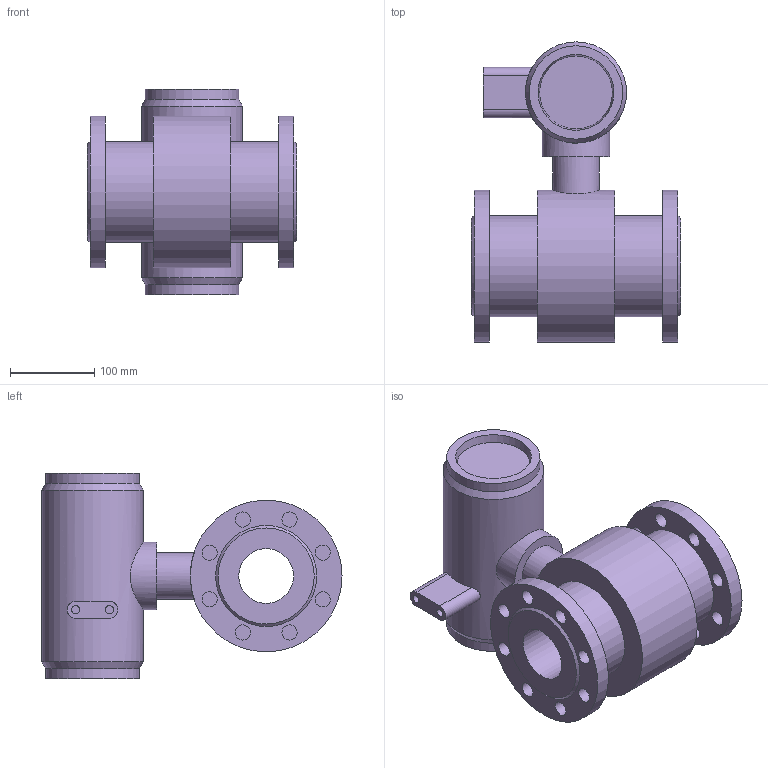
import cadquery as cq

TUBE_LENGTH = 248.0
TUBE_DIAMETER = 120.0
BORE_DIAMETER = 65.0
BODY_DIAMETER = 180.0
BODY_LENGTH = 92.0

FLANGE_DIAMETER = 180.0
FLANGE_THICKNESS = 18.0
FACE_HEIGHT = 3.0
FACE_DIAMETER = 120.0
FACE_TAPER = 45.0
BOLT_CIRCLE_DIAMETER = 145.0
BOLT_HOLE_DIAMETER = 18.0
BOLT_COUNT = 8

HOUSING_Y = 206.0
HOUSING_HEIGHT = 244.0
HOUSING_DIAMETER = 120.0
CAP_DIAMETER = 110.76
CAP_HEIGHT = 12.0
SHOULDER_HEIGHT = 8.0
WINDOW_DIAMETER = 90.0
WINDOW_DEPTH = 10.0
WINDOW_TAPER = 10.0

STEM_DIAMETER = 55.0
COLLAR_DIAMETER = 80.0
COLLAR_FRONT_Y = 130.0

ENTRY_REACH = 110.0
ENTRY_Z = -40.0
ENTRY_WIDTH = 60.0
ENTRY_HEIGHT = 20.0
ENTRY_HOLE_DIAMETER = 10.0
ENTRY_HOLE_SPACING = ENTRY_WIDTH - ENTRY_HEIGHT
ENTRY_HOLE_DEPTH = 20.0


def cylinder_x(diameter, x_start, x_end):
    """Cylinder on the tube axis between two X positions."""
    return cq.Workplane("YZ", origin=(x_start, 0, 0)).circle(diameter / 2).extrude(x_end - x_start)


def cylinder_y(diameter, y_start, y_end):
    """Cylinder on the neck axis between two Y positions."""
    plane = cq.Plane(origin=(0, y_start, 0), xDir=(1, 0, 0), normal=(0, 1, 0))
    return cq.Workplane(plane).circle(diameter / 2).extrude(y_end - y_start)


def make_flange():
    """Bolted flange at the +X end, with its tapered raised face."""
    rim_x = TUBE_LENGTH / 2 - FACE_HEIGHT
    back_x = rim_x - FLANGE_THICKNESS
    disc = cylinder_x(FLANGE_DIAMETER, back_x, rim_x)
    bolt_holes = (
        cq.Workplane("YZ", origin=(back_x, 0, 0))
        .polarArray(BOLT_CIRCLE_DIAMETER / 2, 180 / BOLT_COUNT, 360, BOLT_COUNT)
        .circle(BOLT_HOLE_DIAMETER / 2)
        .extrude(FLANGE_THICKNESS)
    )
    raised_face = (
        cq.Workplane("YZ", origin=(rim_x, 0, 0))
        .circle(FACE_DIAMETER / 2)
        .extrude(FACE_HEIGHT, taper=FACE_TAPER)
    )
    return disc.cut(bolt_holes).union(raised_face)


def make_flow_tube():
    """Tube, central body and a flange at each end, before boring."""
    back_x = TUBE_LENGTH / 2 - FACE_HEIGHT - FLANGE_THICKNESS
    flange = make_flange()
    return (
        cylinder_x(TUBE_DIAMETER, -back_x, back_x)
        .union(cylinder_x(BODY_DIAMETER, -BODY_LENGTH / 2, BODY_LENGTH / 2))
        .union(flange)
        .union(flange.mirror("YZ"))
    )


def make_housing():
    """Housing with a shoulder and a narrower cap at each end."""
    end_z = HOUSING_HEIGHT / 2
    shoulder_top_z = end_z - CAP_HEIGHT
    shoulder_base_z = shoulder_top_z - SHOULDER_HEIGHT
    cap_radius = CAP_DIAMETER / 2
    housing_radius = HOUSING_DIAMETER / 2
    return (
        cq.Workplane("XZ", origin=(0, HOUSING_Y, 0))
        .moveTo(0, -end_z)
        .lineTo(cap_radius, -end_z)
        .lineTo(cap_radius, -shoulder_top_z)
        .lineTo(housing_radius, -shoulder_base_z)
        .lineTo(housing_radius, shoulder_base_z)
        .lineTo(cap_radius, shoulder_top_z)
        .lineTo(cap_radius, end_z)
        .lineTo(0, end_z)
        .close()
        .revolve(360, (0, 0, 0), (0, 1, 0))
    )


def make_window():
    """Tapered round recess cut into the top of the housing."""
    return (
        cq.Workplane("XY", origin=(0, HOUSING_Y, HOUSING_HEIGHT / 2))
        .circle(WINDOW_DIAMETER / 2)
        .extrude(-WINDOW_DEPTH, taper=WINDOW_TAPER)
    )


def make_entry_block():
    """Block with rounded sides, from the housing axis out to its -X end."""
    return (
        cq.Workplane("YZ", origin=(-ENTRY_REACH, HOUSING_Y, ENTRY_Z))
        .slot2D(ENTRY_WIDTH, ENTRY_HEIGHT)
        .extrude(ENTRY_REACH)
    )


def make_entry_holes():
    """Pair of blind holes in the end of the cable entry block."""
    half_spacing = ENTRY_HOLE_SPACING / 2
    return (
        cq.Workplane("YZ", origin=(-ENTRY_REACH, HOUSING_Y, ENTRY_Z))
        .pushPoints([(-half_spacing, 0), (half_spacing, 0)])
        .circle(ENTRY_HOLE_DIAMETER / 2)
        .extrude(ENTRY_HOLE_DEPTH)
    )


bore = cylinder_x(BORE_DIAMETER, -TUBE_LENGTH / 2, TUBE_LENGTH / 2)
stem_start_y = (BORE_DIAMETER + BODY_DIAMETER) / 4
stem = cylinder_y(STEM_DIAMETER, stem_start_y, COLLAR_FRONT_Y)
collar = cylinder_y(COLLAR_DIAMETER, COLLAR_FRONT_Y, HOUSING_Y)

result = (
    make_flow_tube()
    .union(stem)
    .union(collar)
    .union(make_housing())
    .union(make_entry_block())
    .cut(bore)
    .cut(make_window())
    .cut(make_entry_holes())
)